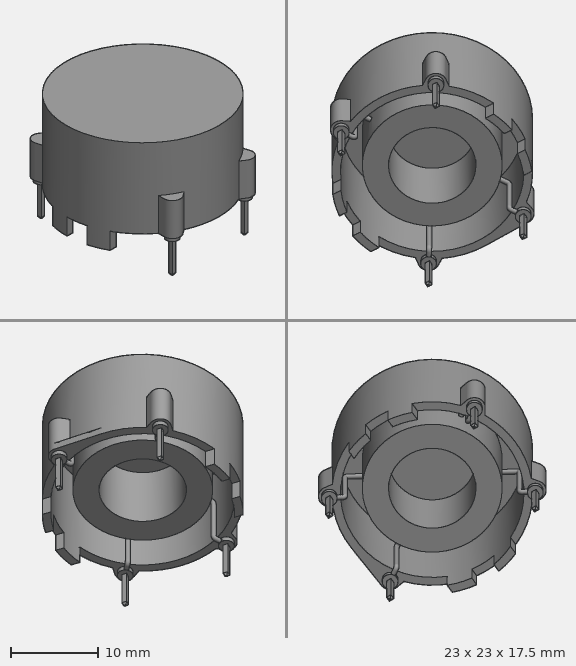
import cadquery as cq
import math


case_diameter = 23.0
case_height = 12.0
bore_diameter = 21.0
case_radius = case_diameter / 2
wall = (case_diameter - bore_diameter) / 2

pin_x = 10.0
pin_y = 6.25
pin_distance = math.hypot(pin_x, pin_y)
pin_angle = math.degrees(math.atan2(pin_y, pin_x))
corner_angles = [pin_angle, 180 - pin_angle, 180 + pin_angle, -pin_angle]

boss_radius = 1.25
boss_height = 5.0
boss_flare = 23.5
boss_root = (case_radius + bore_diameter / 2) / 2 - boss_radius

web_height = 1.0

foot_height = 2.5
foot_inner_x = 1.52
foot_outer_x = 4.37

wire_diameter = 0.6
wire_radius = wire_diameter / 2
pad_diameter = 1.82
pad_thickness = wire_diameter
wire_drop = wire_radius
pin_width = 0.6
pin_length = 5.5
pin_tip_width = 0.18
pin_tip_length = 0.3
riser_distance = 10.0
bend_radius = 0.32
coil_outer_diameter = 16.0
coil_inner_diameter = 10.0
coil_height = 8.0
coil_bottom = (case_height - wall - coil_height) / 2
lead_height = coil_bottom + coil_height / 2


def turn(shape, angle):
    """Turn a shape about the case axis."""
    return shape.rotate((0, 0, 0), (0, 0, 1), angle)


def make_boss():
    """Boss on the +X axis: a round nose with sides flaring tangentially into the wall."""
    flare = math.radians(boss_flare)
    tangent_x = pin_distance + boss_radius * math.sin(flare)
    tangent_y = boss_radius * math.cos(flare)
    root_y = tangent_y + (tangent_x - boss_root) * math.tan(flare)
    return (
        cq.Workplane("XY")
        .moveTo(boss_root, -root_y)
        .lineTo(tangent_x, -tangent_y)
        .threePointArc((pin_distance + boss_radius, 0), (tangent_x, tangent_y))
        .lineTo(boss_root, root_y)
        .close()
        .extrude(boss_height)
    )


def make_web():
    """Web along the common tangent of the case wall and the boss at -X, +Y."""
    spread = math.acos((case_radius - boss_radius) / pin_distance)
    normal_angle = math.radians(180 - pin_angle) + spread
    normal_x = math.cos(normal_angle)
    normal_y = math.sin(normal_angle)
    outline = [
        (0, 0),
        (-pin_x, pin_y),
        (-pin_x + boss_radius * normal_x, pin_y + boss_radius * normal_y),
        (case_radius * normal_x, case_radius * normal_y),
    ]
    return cq.Workplane("XY").polyline(outline).close().extrude(web_height)


def make_feet():
    """Four feet that continue the case wall below the rim."""
    slab_width = foot_outer_x - foot_inner_x
    slab_middle = (foot_inner_x + foot_outer_x) / 2
    slabs = (
        cq.Workplane("XY")
        .rarray(2 * slab_middle, 0.23, 2, 1)
        .rect(slab_width, case_diameter)
        .extrude(-foot_height)
    )
    ring = cq.Workplane("XY").circle(case_radius).circle(bore_diameter / 2).extrude(-foot_height)
    return slabs.intersect(ring)


def make_case():
    """Cup with bosses, web and feet."""
    case = cq.Workplane("XY").circle(case_radius).extrude(case_height)
    for angle in corner_angles:
        case = case.union(turn(make_boss(), angle))
    case = case.union(make_web())
    bore = cq.Workplane("XY").circle(bore_diameter / 2).extrude(case_height - wall)
    return case.cut(bore).union(make_feet())


def make_pin():
    """Square pin with a tapered tip, at the origin."""
    shank_end = pin_tip_length - pin_length
    shank = cq.Workplane("XY").rect(pin_width, pin_width).extrude(shank_end)
    tip = (
        cq.Workplane("XY", origin=(0, 0, shank_end))
        .rect(pin_width, pin_width)
        .workplane(offset=-pin_tip_length)
        .rect(pin_tip_width, pin_tip_width)
        .loft(combine=True)
    )
    return shank.union(tip)


def make_lead():
    """Lead on the +X axis: along the rim from the pad, up into the bore, across to the coil."""
    coil_middle = (coil_outer_diameter + coil_inner_diameter) / 4
    bend_inset = bend_radius * (1 - math.sqrt(0.5))
    path = (
        cq.Workplane("XZ")
        .moveTo(pin_distance, -wire_drop)
        .lineTo(riser_distance + bend_radius, -wire_drop)
        .threePointArc(
            (riser_distance + bend_inset, bend_inset - wire_drop),
            (riser_distance, bend_radius - wire_drop),
        )
        .lineTo(riser_distance, lead_height - bend_radius)
        .threePointArc(
            (riser_distance - bend_inset, lead_height - bend_inset),
            (riser_distance - bend_radius, lead_height),
        )
        .lineTo(coil_middle, lead_height)
    )
    wire = (
        cq.Workplane("YZ", origin=(pin_distance, 0, -wire_drop))
        .circle(wire_radius)
        .sweep(path)
    )
    pad = cq.Workplane("XY").center(pin_distance, 0).circle(pad_diameter / 2).extrude(-pad_thickness)
    return wire.union(pad)


def make_coil():
    """Ring coil with its four leads and pins as one piece."""
    coil = (
        cq.Workplane("XY", origin=(0, 0, coil_bottom))
        .circle(coil_outer_diameter / 2)
        .circle(coil_inner_diameter / 2)
        .extrude(coil_height)
    )
    for angle in corner_angles:
        coil = coil.union(turn(make_lead(), angle))
    for x in (-pin_x, pin_x):
        for y in (-pin_y, pin_y):
            coil = coil.union(make_pin().translate((x, y, 0)))
    return coil


case = make_case()
coil = make_coil()

result = cq.Compound.makeCompound([case.solids().val(), coil.solids().val()])